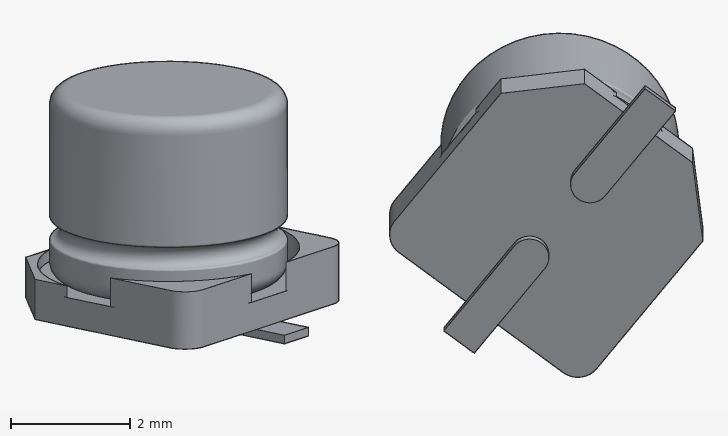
import cadquery as cq

terminal_span = 5.5
terminal_gap = 1.0
terminal_width = 0.65
terminal_thickness = 0.15

base_size = 4.3
corner_chamfer = 1.0
corner_radius = 0.4
low_wall_height = 0.7
high_wall_height = 1.0
pocket_floor_height = 0.5
pocket_diameter = 4.4

can_diameter = 4.0
can_edge_radius = 0.27
overall_height = 3.9
groove_center_z = 1.49
groove_half_height = 0.19
groove_depth = 0.19
groove_lip_radius = 0.04

base_bottom_z = terminal_thickness
pocket_floor_z = base_bottom_z + pocket_floor_height


def base_block(height):
    """Square block with chamfered corners at -X and rounded corners at +X."""
    block = (
        cq.Workplane("XY")
        .workplane(offset=base_bottom_z)
        .rect(base_size, base_size)
        .extrude(height)
    )
    block = block.edges("|Z and <X").chamfer(corner_chamfer)
    return block.edges("|Z and >X").fillet(corner_radius)


def make_base():
    """Base with a higher wall on the +X half and a round pocket that breaks through all four sides."""
    high_half = base_block(high_wall_height).intersect(
        cq.Workplane("XY")
        .box(base_size, base_size, overall_height, centered=(False, True, False))
    )
    pocket = (
        cq.Workplane("XY")
        .workplane(offset=pocket_floor_z)
        .circle(pocket_diameter / 2)
        .extrude(high_wall_height)
    )
    return base_block(low_wall_height).union(high_half).cut(pocket)


def make_can():
    """Revolved can with rounded rims and a soft-lipped crimp groove, standing on the pocket floor."""
    radius = can_diameter / 2
    profile = (
        cq.Workplane("XZ")
        .moveTo(0, pocket_floor_z)
        .lineTo(radius, pocket_floor_z)
        .lineTo(radius, groove_center_z - groove_half_height)
        .threePointArc(
            (radius - groove_depth, groove_center_z),
            (radius, groove_center_z + groove_half_height),
        )
        .lineTo(radius, overall_height)
        .lineTo(0, overall_height)
        .close()
    )
    can = profile.revolve(360, (0, 0, 0), (0, 1, 0))
    groove_zone = cq.selectors.BoxSelector(
        (-can_diameter, -can_diameter, groove_center_z - 2 * groove_half_height),
        (can_diameter, can_diameter, groove_center_z + 2 * groove_half_height),
    )
    can = can.edges("%CIRCLE").edges(groove_zone).fillet(groove_lip_radius)
    return can.faces("<Z or >Z").edges().fillet(can_edge_radius)


def make_terminal(side):
    """Flat terminal with a fully rounded inner end; side is -1 or +1 along X."""
    end_radius = terminal_width / 2
    inner_x = side * terminal_gap / 2
    round_center_x = inner_x + side * end_radius
    outer_x = side * terminal_span / 2
    return (
        cq.Workplane("XY")
        .moveTo(outer_x, -end_radius)
        .lineTo(round_center_x, -end_radius)
        .threePointArc((inner_x, 0), (round_center_x, end_radius))
        .lineTo(outer_x, end_radius)
        .close()
        .extrude(terminal_thickness)
    )


result = make_base().union(make_can())
for side in (-1, 1):
    result = result.union(make_terminal(side))